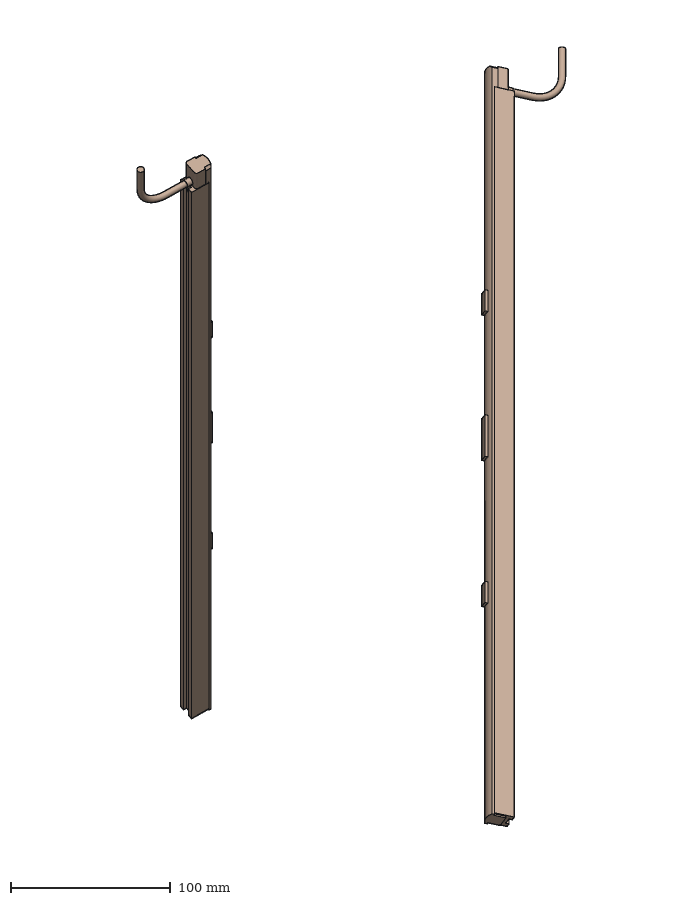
import cadquery as cq


WIDTH = 12.0
CHANNEL_BOTTOM = 1.0
CHANNEL_TOP = 536.5
CHANNEL_BACK = 13.5
WALL = 1.0
SLOT_WIDTH = 5.0
SLOT_DEPTH = 2.5
SCREW_HOLE_DIAMETER = 3.5
SCREW_HOLE_DROP = 7.0

BAR_FRONT = 5.0
BAR_WIDTH = WIDTH - 2 * WALL
LENS_EDGE = 15.0
LENS_CROWN = 17.0
LABEL_WIDTH = 5.0
LABEL_HEIGHT = 2.0
LABEL_EMBED = 1.0
LABELS = [(157.0, 15.5), (264.5, 30.5), (372.0, 15.5)]

HEAD_TOP = 552.0
HEAD_FRONT = 3.5
HEAD_CORNER_RADIUS = 2.0
HEAD_CHAMFER = 2.0
HEAD_FRONT_WIDTH = 11.5
HEAD_SHOULDER = 11.0

CABLE_DIAMETER = 4.5
CABLE_Z = 539.0
CABLE_BEND_RADIUS = 19.5
CABLE_TIP_Y = -35.0
CABLE_TOP = 579.0
COLLAR_DIAMETER = 5.0
COLLAR_LENGTH = 4.0
CABLE_EMBED = 2.5


def block(width, front, back, bottom, top):
    """Box centred on X = 0, given by its limits in Y and Z."""
    return cq.Workplane("XY").box(
        width, back - front, top - bottom, centered=(True, False, False)
    ).translate((0, front, bottom))


def make_channel():
    body = block(WIDTH, 0, CHANNEL_BACK, CHANNEL_BOTTOM, CHANNEL_TOP)
    bar_pocket = block(BAR_WIDTH, BAR_FRONT, CHANNEL_BACK, CHANNEL_BOTTOM, CHANNEL_TOP)
    front_slot = block(SLOT_WIDTH, 0, SLOT_DEPTH, CHANNEL_BOTTOM, CHANNEL_TOP)
    screw_hole = (
        cq.Workplane("XZ")
        .center(0, CHANNEL_TOP - SCREW_HOLE_DROP)
        .circle(SCREW_HOLE_DIAMETER / 2)
        .extrude(-BAR_FRONT)
    )
    return body.cut(bar_pocket).cut(front_slot).cut(screw_hole)


def make_lens():
    """Full-width strip with a domed back that covers the channel's side walls."""
    return (
        cq.Workplane("XY")
        .moveTo(-WIDTH / 2, CHANNEL_BACK)
        .lineTo(WIDTH / 2, CHANNEL_BACK)
        .lineTo(WIDTH / 2, LENS_EDGE)
        .threePointArc((0, LENS_CROWN), (-WIDTH / 2, LENS_EDGE))
        .close()
        .extrude(HEAD_TOP)
    )


def make_labels():
    """Raised label pads on the crown of the lens."""
    pad_root = LENS_CROWN - LABEL_EMBED
    pad_face = LENS_CROWN + LABEL_HEIGHT
    pads = cq.Workplane("XY")
    for bottom, length in LABELS:
        pads = pads.add(block(LABEL_WIDTH, pad_root, pad_face, bottom, bottom + length))
    return pads


def make_head():
    """Block above the channel: a narrower front part with rounded corners and a full-width rear part."""
    front_part = (
        block(HEAD_FRONT_WIDTH, HEAD_FRONT, HEAD_SHOULDER, CHANNEL_TOP, HEAD_TOP)
        .edges("|Z and <Y")
        .fillet(HEAD_CORNER_RADIUS)
    )
    rear_part = block(WIDTH, HEAD_SHOULDER, CHANNEL_BACK, CHANNEL_TOP, HEAD_TOP)
    return front_part.union(rear_part)


def make_head_chamfers():
    """Two wedges that bevel the upper side edges of the head behind its shoulder."""
    half = WIDTH / 2
    wedge = (
        cq.Workplane("XZ", origin=(0, HEAD_SHOULDER, 0))
        .moveTo(half, HEAD_TOP)
        .lineTo(half - HEAD_CHAMFER, HEAD_TOP)
        .lineTo(half, HEAD_TOP - HEAD_CHAMFER)
        .close()
        .extrude(HEAD_SHOULDER - LENS_CROWN)
    )
    return wedge.add(wedge.mirror("YZ"))


def make_cable():
    """Collar, and a round cable that runs forward, bends a quarter turn and ends upright."""
    start_y = HEAD_FRONT + CABLE_EMBED
    bend_start_y = CABLE_TIP_Y + CABLE_BEND_RADIUS
    bend_top = CABLE_Z + CABLE_BEND_RADIUS
    path = (
        cq.Workplane("YZ")
        .moveTo(start_y, CABLE_Z)
        .lineTo(bend_start_y, CABLE_Z)
        .tangentArcPoint((CABLE_TIP_Y, bend_top), relative=False)
        .lineTo(CABLE_TIP_Y, CABLE_TOP)
    )
    root = cq.Workplane("XZ", origin=(0, start_y, CABLE_Z))
    cable = root.circle(CABLE_DIAMETER / 2).sweep(path)
    collar = root.circle(COLLAR_DIAMETER / 2).extrude(CABLE_EMBED + COLLAR_LENGTH)
    return cable.union(collar)


def make_sensor_bar():
    bar = block(BAR_WIDTH, BAR_FRONT, CHANNEL_BACK, 0, HEAD_TOP)
    bar = bar.union(make_lens()).union(make_head())
    for wedge in make_head_chamfers().vals():
        bar = bar.cut(cq.Workplane(wedge))
    for pad in make_labels().vals():
        bar = bar.union(cq.Workplane(pad))
    return bar.union(make_cable())


channel = make_channel()
sensor_bar = make_sensor_bar()
result = cq.Compound.makeCompound([channel.val(), sensor_bar.val()])